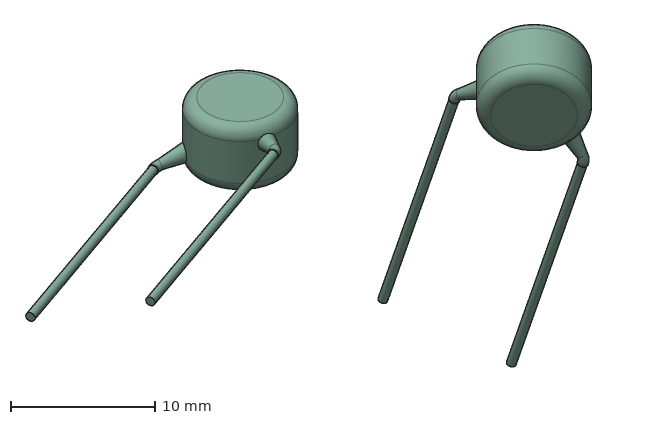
import cadquery as cq
import math

disc_diameter = 8.0
disc_height = 5.5
disc_edge_radius = 1.0

total_length = 28.4
lead_diameter = 0.7
lead_length = 20.0
lead_spacing = 9.2
lead_level = 2.0

sleeve_diameter = 0.8
mouth_length = 0.15
bend_radius = 0.8
cone_plan_angle = 47.0
cone_rise_angle = 16.0
cone_half_angle = 9.0
cone_length = 3.4

disc_radius = disc_diameter / 2
lead_tip_y = disc_radius - total_length
mouth_y = lead_tip_y + lead_length
lead_x = -lead_spacing / 2
lead_z = -lead_level

plan = math.radians(cone_plan_angle)
rise = math.radians(cone_rise_angle)
wire_direction = cq.Vector(0, 1, 0)
cone_direction = cq.Vector(
    math.cos(rise) * math.cos(plan),
    math.cos(rise) * math.sin(plan),
    math.sin(rise),
)
bend_angle = wire_direction.getAngle(cone_direction)


def make_disc():
    disc = cq.Workplane("XY").circle(disc_radius).extrude(disc_height / 2, both=True)
    return disc.faces("|Z").edges().fillet(disc_edge_radius)


def make_sleeve():
    """Sleeve at the lower -X lead."""
    mouth_end = cq.Vector(lead_x, mouth_y, lead_z)
    bend_start = mouth_end + wire_direction * mouth_length
    bend_tangent = bend_radius * math.tan(bend_angle / 2)
    bend_corner = bend_start + wire_direction * bend_tangent
    cone_start = bend_corner + cone_direction * bend_tangent

    to_inner_side = (cone_direction - wire_direction).normalized()
    bend_middle_offset = bend_radius * (1 / math.cos(bend_angle / 2) - 1)
    bend_middle = bend_corner + to_inner_side * bend_middle_offset

    path = (
        cq.Workplane("XY")
        .add(cq.Edge.makeLine(mouth_end, bend_start))
        .add(cq.Edge.makeThreePointArc(bend_start, bend_middle, cone_start))
        .toPending()
        .consolidateWires()
    )
    mouth_plane = cq.Plane(origin=mouth_end, normal=wire_direction)
    tube = cq.Workplane(mouth_plane).circle(sleeve_diameter / 2).sweep(path)

    small_radius = sleeve_diameter / 2
    large_radius = small_radius + cone_length * math.tan(math.radians(cone_half_angle))
    cone = cq.Solid.makeCone(small_radius, large_radius, cone_length, cone_start, cone_direction)
    return tube.union(cone)


def make_lead():
    """Straight wire on the lower -X side, from its free tip to the sleeve mouth."""
    tip = cq.Vector(lead_x, lead_tip_y, lead_z)
    return cq.Workplane(cq.Solid.makeCylinder(lead_diameter / 2, lead_length, tip, wire_direction))


def turned(shape, angle):
    """Turn about Y; half a turn carries the lower -X side to the upper +X side."""
    return shape.rotate((0, 0, 0), (0, 1, 0), angle)


side_angles = [0, 180]

housing = make_disc()
for angle in side_angles:
    housing = housing.union(turned(make_sleeve(), angle))

leads = [turned(make_lead(), angle) for angle in side_angles]

result = cq.Compound.makeCompound([housing.solids().val(), *[lead.val() for lead in leads]])